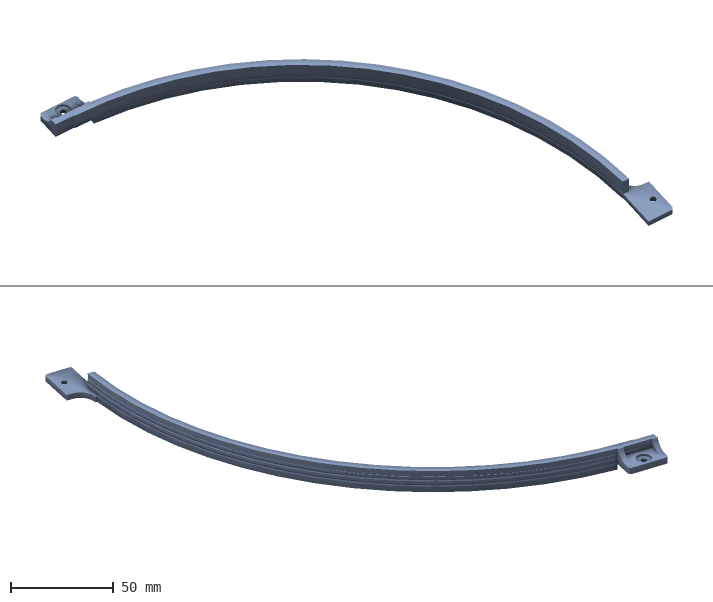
import cadquery as cq
import math

overall_size = 223.2
height = 12.0
lap_height = 3.1
tab_length = 22.0

center_x = overall_size - tab_length / 2
center_y = tab_length / 2
outer_radius = 200.9
inner_radius = 197.0
groove_depth = 0.2
groove_height = 1.3
outer_groove_bottoms = (3.1, 6.0)
inner_groove_bottom = 3.1
recess_bottom = 8.7
recess_top = 11.4

tab_top = 6.7
wall_outer_x = center_x - outer_radius
wall_thickness = 3.3
tab_width = wall_outer_x + wall_thickness
lower_tab_width = overall_size - center_y - inner_radius
corner_radius = 1.8
gusset_radius = 8.3
gusset_thickness = 3.0

hole_offset = 5.0
hole_diameter = 3.3
head_diameter = 8.0
head_depth = 1.1


def box(x0, y0, z0, x1, y1, z1):
    return cq.Workplane("XY").box(x1 - x0, y1 - y0, z1 - z0, centered=False).translate((x0, y0, z0))


def v_groove(surface_radius, floor_radius, bottom):
    """Profile points of one V groove, from its lower edge upwards."""
    return [
        (-surface_radius, bottom),
        (-floor_radius, bottom + groove_height / 2),
        (-surface_radius, bottom + groove_height),
    ]


def make_rail():
    """Quarter ring with two V grooves and a recessed band outside, and one V groove inside."""
    floor_radius = outer_radius - groove_depth
    outline = [(-inner_radius, 0), (-outer_radius, 0)]
    for bottom in outer_groove_bottoms:
        outline += v_groove(outer_radius, floor_radius, bottom)
    outline += [
        (-outer_radius, recess_bottom),
        (-floor_radius, recess_bottom),
        (-floor_radius, recess_top),
        (-outer_radius, recess_top),
        (-outer_radius, height),
        (-inner_radius, height),
    ]
    outline += reversed(v_groove(inner_radius, inner_radius + groove_depth, inner_groove_bottom))
    ring = cq.Workplane("XZ").polyline(outline).close().revolve(90, (0, 0, 0), (0, -1, 0))
    ring = ring.translate((center_x, center_y, 0))
    under_upper_tab = box(0, 0, 0, overall_size, tab_length, lap_height)
    beyond_lower_tab = box(overall_size - tab_length, 0, 0, overall_size, overall_size, height)
    return ring.cut(under_upper_tab).cut(beyond_lower_tab)


def make_upper_tab():
    """Raised tab at the lower left, with a short straight wall and two curved gussets."""
    tab = box(0, 0, lap_height, tab_width, tab_length, tab_top)
    tab = tab.edges("|Z and <X").fillet(corner_radius)
    tab = tab.cut(box(wall_outer_x + wall_thickness / 2, center_y, lap_height, tab_width, tab_length, tab_top))
    tab = tab.union(box(wall_outer_x, 0, lap_height, tab_width, center_y, height))

    arc_x = wall_outer_x - gusset_radius
    arc_z = tab_top + gusset_radius
    end_x = arc_x + math.sqrt(gusset_radius**2 - (arc_z - height) ** 2)
    mid_angle = math.atan2(height - arc_z, end_x - arc_x) / 2 - math.pi / 4
    mid_point = (arc_x + gusset_radius * math.cos(mid_angle), arc_z + gusset_radius * math.sin(mid_angle))
    root_x = wall_outer_x + wall_thickness / 2
    gusset = (
        cq.Workplane("XZ")
        .moveTo(arc_x, tab_top)
        .threePointArc(mid_point, (end_x, height))
        .lineTo(root_x, height)
        .lineTo(root_x, lap_height)
        .lineTo(arc_x, lap_height)
        .close()
        .extrude(-gusset_thickness)
    )
    for start_y in (0, tab_length - gusset_thickness):
        tab = tab.union(gusset.translate((0, start_y, 0)))
    return tab


def make_lower_tab():
    """Thin tab at the upper right, blended into the rail by a concave web."""
    start_x = overall_size - tab_length
    tab = box(start_x, overall_size - lower_tab_width, 0, overall_size, overall_size, lap_height)
    tab = tab.edges("|Z and >X and >Y").fillet(corner_radius)
    arc_x = start_x - gusset_radius
    arc_y = overall_size - wall_outer_x + gusset_radius
    root_y = center_y + math.sqrt((outer_radius - wall_thickness / 2) ** 2 - (arc_x - center_x) ** 2)
    web = box(arc_x, root_y, 0, start_x, arc_y, lap_height)
    relief = cq.Workplane("XY").center(arc_x, arc_y).circle(gusset_radius).extrude(lap_height)
    return tab.union(web.cut(relief))


def make_bore(x, y, z, diameter, depth):
    return cq.Workplane("XY").center(x, y).circle(diameter / 2).extrude(depth).translate((0, 0, z))


result = make_rail().union(make_upper_tab()).union(make_lower_tab())
result = result.cut(make_bore(hole_offset, center_y, 0, hole_diameter, height))
result = result.cut(make_bore(hole_offset, center_y, tab_top - head_depth, head_diameter, height))
result = result.cut(make_bore(center_x, overall_size - hole_offset, 0, hole_diameter, height))